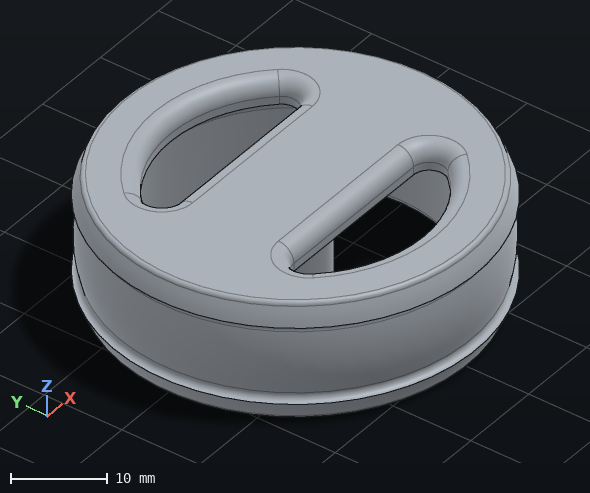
import cadquery as cq
import math

outer_radius = 23.15
height = 15.0
mid_height = height / 2

rim_height = 2.6
rim_top_radius = 21.65
rim_slope_radius = 22.2
rim_round_drop = 0.45
rim_round_bulge = 0.15
rim_slope_bulge = 0.07
groove_radius = 0.75
barrel_radius = 22.95
groove_drop = 3.55

plate_thickness = 3.0
cavity_diameter = 36.0
cavity_fillet = 2.0
cavity_mouth_fillet = 0.8
boss_diameter = 8.0

window_fillet = 2.0
window_arc_radius = cavity_diameter / 2 - window_fillet
window_corner_radius = 2.0
bar_half_width = 7.5


def bulged_point(start, end, bulge):
    """Middle of an arc going outward and down from start to end, bulging outward from its chord."""
    dr = end[0] - start[0]
    drop = start[1] - end[1]
    length = math.hypot(dr, drop)
    middle_r = (start[0] + end[0]) / 2
    middle_z = (start[1] + end[1]) / 2
    return (middle_r + bulge * drop / length, middle_z + bulge * dr / length)


def mirrored(point):
    """Same profile point on the lower half of the body."""
    return (point[0], height - point[1])


def make_body():
    face_edge = (rim_top_radius, height)
    slope_start = (rim_slope_radius, height - rim_round_drop)
    rim_edge = (outer_radius, height - rim_height)
    round_middle = bulged_point(face_edge, slope_start, rim_round_bulge)
    slope_middle = bulged_point(slope_start, rim_edge, rim_slope_bulge)

    groove_center_z = height - rim_height - groove_radius
    groove_end_z = height - groove_drop
    end_angle = math.asin((groove_center_z - groove_end_z) / groove_radius)
    start_angle = math.pi / 2
    middle_angle = (start_angle - end_angle) / 2

    def groove_point(angle):
        """Point on the groove, angle measured upward from its innermost point."""
        return (
            outer_radius - groove_radius * math.cos(angle),
            groove_center_z + groove_radius * math.sin(angle),
        )

    groove_middle = groove_point(middle_angle)
    groove_end = groove_point(-end_angle)

    profile = (
        cq.Workplane("XZ")
        .moveTo(0, height)
        .lineTo(*face_edge)
        .threePointArc(round_middle, slope_start)
        .threePointArc(slope_middle, rim_edge)
        .threePointArc(groove_middle, groove_end)
        .threePointArc((barrel_radius, mid_height), mirrored(groove_end))
        .threePointArc(mirrored(groove_middle), mirrored(rim_edge))
        .threePointArc(mirrored(slope_middle), mirrored(slope_start))
        .threePointArc(mirrored(round_middle), mirrored(face_edge))
        .lineTo(0, 0)
        .close()
    )
    return profile.revolve(360, (0, 0, 0), (0, 1, 0))


def make_cavity():
    depth = height - plate_thickness
    cavity = cq.Workplane("XY").circle(cavity_diameter / 2).extrude(depth)
    cavity = cavity.faces(">Z").edges().fillet(cavity_fillet)
    boss = cq.Workplane("XY").circle(boss_diameter / 2).extrude(depth)
    return cavity.cut(boss)


def make_window(side):
    """Cutter for one window; side is +1 for the +Y window and -1 for the -Y window."""
    half_width = math.sqrt(window_arc_radius**2 - bar_half_width**2)
    straight_y = side * bar_half_width
    window = (
        cq.Workplane("XY")
        .workplane(offset=mid_height)
        .moveTo(-half_width, straight_y)
        .lineTo(half_width, straight_y)
        .threePointArc((0, side * window_arc_radius), (-half_width, straight_y))
        .close()
        .extrude(mid_height)
    )
    return window.edges("|Z").fillet(window_corner_radius)


body = make_body().cut(make_cavity())
for side in (1, -1):
    body = body.cut(make_window(side))

top_face = body.faces(">Z").val()
window_rims = [edge for wire in top_face.innerWires() for edge in wire.Edges()]
body = body.newObject(window_rims).fillet(window_fillet)

result = body.faces("<Z").edges(cq.selectors.RadiusNthSelector(1)).fillet(cavity_mouth_fillet)